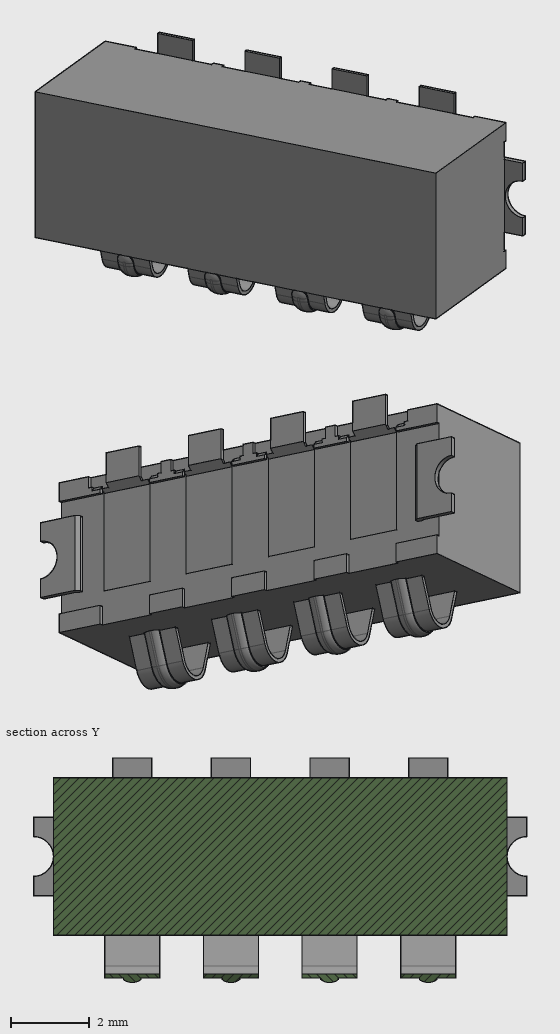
import cadquery as cq
import math

length = 11.5
depth = 3.8
height = 4.0

contact_count = 4
contact_pitch = 2.5
sheet = 0.1
strip_width = 1.4
tail_width = 1.0
tail_rise = 0.5
jog_top_z = 3.7
jog_offset = 0.2
jog_bottom_z = jog_top_z - jog_offset
shoulder_z = jog_top_z - jog_offset / 2
shelf_z = 1.0

bead_height = 0.1
bead_width = 0.45
bead_flat_width = 0.06
bead_side_height = 0.03
spring_drop = 1.25
bend_outer = 0.55
bend_inner = bend_outer - sheet
bend_y = 1.695
bend_z = bend_outer + bead_height - spring_drop
front_lean = math.radians(17)
rear_lean = math.radians(22.5)
front_tip_z = 0.5
bead_front_z = -0.66
bead_rear_z = 0.3

rear_recess_depth = 0.1
rear_floor_y = depth - rear_recess_depth
groove_height = 3.0
slot_width = 1.5
slot_mouth_width = 2.2
slot_mouth_bottom_z = jog_top_z
ramp_width = 2.0

tab_reach = 0.5
tab_proud = 0.1
tab_thickness = 0.15
tab_height = 2.0
tab_notch_radius = 0.5
tab_bend_x = 5.2
tab_root_x = tab_bend_x - tab_proud


def arm_point(side, lean, radius, z):
    """Point (Y, Z) on a spring arm tangent to the bend; side is -1 for front, +1 for rear."""
    start_y = bend_y + side * radius * math.cos(lean)
    start_z = bend_z - radius * math.sin(lean)
    return start_y + side * (z - start_z) * math.tan(lean), z


def arm_start(side, lean, radius):
    """Tangent point where the bend runs into an arm."""
    return arm_point(side, lean, radius, bend_z - radius * math.sin(lean))


def make_spring_strip():
    profile = (
        cq.Workplane("YZ")
        .moveTo(*arm_point(-1, front_lean, bend_outer, front_tip_z))
        .lineTo(*arm_start(-1, front_lean, bend_outer))
        .threePointArc((bend_y, bend_z - bend_outer), arm_start(1, rear_lean, bend_outer))
        .lineTo(*arm_point(1, rear_lean, bend_outer, shelf_z))
        .lineTo(*arm_point(1, rear_lean, bend_inner, shelf_z))
        .lineTo(*arm_start(1, rear_lean, bend_inner))
        .threePointArc((bend_y, bend_z - bend_inner), arm_start(-1, front_lean, bend_inner))
        .lineTo(*arm_point(-1, front_lean, bend_inner, front_tip_z))
        .close()
    )
    return profile.extrude(strip_width / 2, both=True)


def make_bead():
    """Raised bead along the outside of the spring, with a domed front end."""
    front_end = arm_point(-1, front_lean, bend_outer, bead_front_z)
    path = (
        cq.Workplane("YZ")
        .moveTo(*front_end)
        .lineTo(*arm_start(-1, front_lean, bend_outer))
        .threePointArc((bend_y, bend_z - bend_outer), arm_start(1, rear_lean, bend_outer))
        .lineTo(*arm_point(1, rear_lean, bend_outer, bead_rear_z))
    )
    section_plane = cq.Plane(
        origin=(0, *front_end),
        xDir=(1, 0, 0),
        normal=(0, math.sin(front_lean), -math.cos(front_lean)),
    )
    half = bead_width / 2
    half_flat = bead_flat_width / 2
    root = -sheet / 2

    flank_run = half - half_flat
    flank_drop = bead_height - bead_side_height
    flank_radius = (flank_run**2 + flank_drop**2) / (2 * flank_drop)
    mid_x = half_flat + flank_run / 2
    mid_y = bead_height - flank_radius + math.sqrt(flank_radius**2 - (flank_run / 2) ** 2)

    ridge = (
        cq.Workplane(section_plane)
        .moveTo(-half, root)
        .lineTo(half, root)
        .lineTo(half, bead_side_height)
        .threePointArc((mid_x, mid_y), (half_flat, bead_height))
        .lineTo(-half_flat, bead_height)
        .threePointArc((-mid_x, mid_y), (-half, bead_side_height))
        .close()
        .sweep(path)
    )
    dome = (
        cq.Workplane(section_plane)
        .moveTo(0, root)
        .lineTo(half, root)
        .lineTo(half, bead_side_height)
        .threePointArc((mid_x, mid_y), (half_flat, bead_height))
        .lineTo(0, bead_height)
        .close()
        .revolve(360, (0, 0, 0), (0, 1, 0))
    )
    return ridge.union(dome)


def make_contact():
    shelf_start_y = arm_point(1, rear_lean, bend_inner, shelf_z)[0]
    riser_back_y = depth + sheet - jog_offset
    riser_front_y = riser_back_y - sheet
    shoulder_back_y = riser_back_y + shoulder_z - jog_bottom_z
    rear_leg = (
        cq.Workplane("YZ")
        .moveTo(shelf_start_y, shelf_z)
        .lineTo(shelf_start_y, shelf_z - sheet)
        .lineTo(riser_back_y, shelf_z - sheet)
        .lineTo(riser_back_y, jog_bottom_z)
        .lineTo(shoulder_back_y, shoulder_z)
        .lineTo(shoulder_back_y - sheet, shoulder_z)
        .lineTo(riser_front_y, jog_bottom_z)
        .lineTo(riser_front_y, shelf_z)
        .close()
        .extrude(strip_width / 2, both=True)
    )
    tail_top_z = height + tail_rise
    tail = (
        cq.Workplane("YZ")
        .moveTo(shoulder_back_y - sheet, shoulder_z)
        .lineTo(shoulder_back_y, shoulder_z)
        .lineTo(depth + sheet, jog_top_z)
        .lineTo(depth + sheet, tail_top_z)
        .lineTo(depth, tail_top_z)
        .lineTo(depth, jog_top_z)
        .close()
        .extrude(tail_width / 2, both=True)
    )
    return make_spring_strip().union(make_bead()).union(rear_leg).union(tail)


def rear_recess(width, bottom_z, top_z):
    """Cutter for a rectangular recess in the rear face, centred at X = 0."""
    return (
        cq.Workplane("XY")
        .box(width, rear_recess_depth, top_z - bottom_z, centered=(True, False, False))
        .translate((0, rear_floor_y, bottom_z))
    )


def make_slot_cutter():
    """Full-height slot with a wider mouth at the top and a sloped shoulder below the mouth."""
    slot = rear_recess(slot_width, 0, height)
    mouth = rear_recess(slot_mouth_width, slot_mouth_bottom_z, height)
    ramp = (
        cq.Workplane("YZ")
        .moveTo(rear_floor_y, slot_mouth_bottom_z)
        .lineTo(depth, slot_mouth_bottom_z)
        .lineTo(depth, slot_mouth_bottom_z - rear_recess_depth)
        .close()
        .extrude(ramp_width / 2, both=True)
    )
    return slot.union(mouth).union(ramp)


def make_tab():
    """Mounting tab of the +X end: flat plate, bent in at its root, with a half-round end notch."""
    tab_end_x = length / 2 + tab_reach
    back_y = depth + tab_proud
    front_y = back_y - tab_thickness
    root_outer_x = tab_root_x + tab_thickness
    plate = (
        cq.Workplane("XY")
        .moveTo(tab_end_x, front_y)
        .lineTo(tab_end_x, back_y)
        .lineTo(tab_bend_x, back_y)
        .lineTo(tab_root_x, depth)
        .lineTo(tab_root_x, rear_floor_y)
        .lineTo(root_outer_x, rear_floor_y)
        .lineTo(root_outer_x + front_y - rear_floor_y, front_y)
        .close()
        .extrude(tab_height)
        .translate((0, 0, (height - tab_height) / 2))
    )
    notch = (
        cq.Workplane("XZ")
        .center(tab_end_x, height / 2)
        .circle(tab_notch_radius)
        .extrude(-2 * depth)
    )
    return plate.cut(notch)


def make_housing():
    block = cq.Workplane("XY").box(length, depth, height, centered=(True, False, False))
    groove_bottom_z = (height - groove_height) / 2
    groove = rear_recess(length, groove_bottom_z, groove_bottom_z + groove_height)
    block = block.cut(groove)
    tab = make_tab()
    return block.union(tab).union(tab.mirror("YZ"))


contact = make_contact()
slot_cutter = make_slot_cutter()
housing = make_housing()
contacts = []
for index in range(contact_count):
    offset = ((index - (contact_count - 1) / 2) * contact_pitch, 0, 0)
    placed_contact = contact.translate(offset)
    housing = housing.cut(slot_cutter.translate(offset)).cut(placed_contact)
    contacts.append(placed_contact.solids().val())

result = cq.Compound.makeCompound([housing.solids().val(), *contacts])